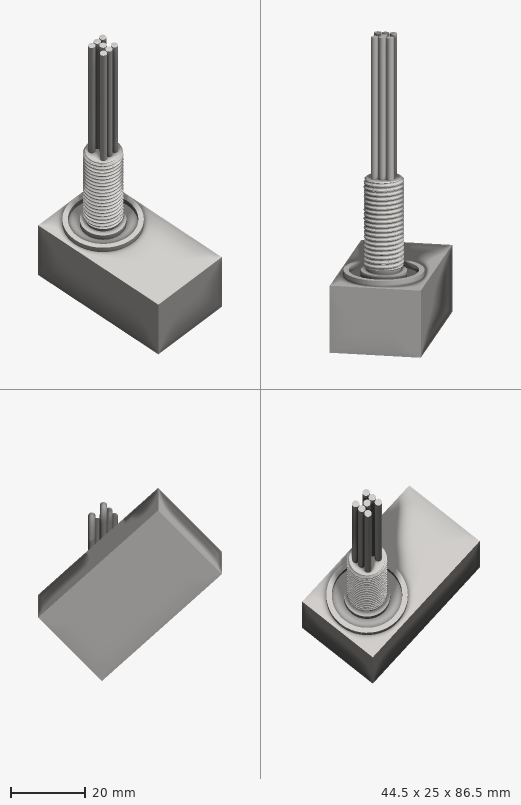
import cadquery as cq
import math

body_length = 44.5
body_width = 25.0
body_height = 18.9

axis_from_end = 12.3
axis_from_side = body_width / 2

collar_height = 1.65
rim_diameter = 22.0
recess_diameter = 19.0
seat_diameter = 12.5

neck_diameter = 9.4
neck_height = 1.0
thread_diameter = 10.9
thread_root_diameter = 9.7
thread_length = 25.0
thread_turns = 19.7
thread_pitch = thread_length / thread_turns
thread_chamfer = 0.6
thread_flank_angle = 30.0
crest_width = thread_pitch / 4
ridge_phase = 0.35
ridge_embed = 0.04
envelope_clearance = 0.01

wire_diameter = 2.0
wire_spacing = 2.2
overall_height = 86.5

collar_top = body_height + collar_height
thread_bottom = collar_top + neck_height
thread_top = thread_bottom + thread_length


def cylinder(diameter, bottom, top):
    """Upright cylinder on the Z axis between two heights."""
    return cq.Workplane("XY").workplane(offset=bottom).circle(diameter / 2).extrude(top - bottom)


def make_body():
    """Plain block, placed so that the stud axis is at the origin."""
    block = cq.Workplane("XY").box(body_length, body_width, body_height, centered=False)
    return block.translate((-axis_from_end, -axis_from_side, 0))


def make_collar():
    """Outer rim and central seat, both standing on the body."""
    rim = cylinder(rim_diameter, body_height, collar_top)
    rim = rim.cut(cylinder(recess_diameter, body_height, collar_top))
    return rim.union(cylinder(seat_diameter, body_height, collar_top))


def make_thread_ridge():
    """Right-handed helical ridge with sloping flanks that runs out past both ends of the thread."""
    crest_radius = thread_diameter / 2
    base_radius = thread_root_diameter / 2 - ridge_embed
    flank_rise = (crest_radius - base_radius) * math.tan(math.radians(thread_flank_angle))
    half_crest = crest_width / 2
    half_base = half_crest + flank_rise

    start = thread_bottom + ridge_phase - thread_pitch
    turns = math.ceil(thread_turns) + 2
    height = turns * thread_pitch
    corners = [
        (base_radius, start - half_base),
        (crest_radius, start - half_crest),
        (crest_radius, start + half_crest),
        (base_radius, start + half_base),
    ]

    rails = [cq.Wire.makeHelix(thread_pitch, height, radius, cq.Vector(0, 0, z)) for radius, z in corners]
    faces = []
    for rail, next_rail in zip(rails, rails[1:] + rails[:1]):
        faces.extend(cq.Face.makeRuledSurface(rail, next_rail).Faces())

    for rise in (0, height):
        outline = [cq.Vector(radius, 0, z + rise) for radius, z in corners]
        faces.append(cq.Face.makeFromWires(cq.Wire.makePolygon(outline, close=True)))
    return cq.Workplane(cq.Solid.makeSolid(cq.Shell.makeShell(faces)))


def make_stud():
    """Plain neck and core carrying a thread that is chamfered at both ends."""
    envelope = cylinder(thread_diameter + 2 * envelope_clearance, thread_bottom, thread_top)
    envelope = envelope.faces("<Z or >Z").chamfer(thread_chamfer)
    ridge = envelope.intersect(make_thread_ridge())
    core = cylinder(thread_root_diameter, thread_bottom, thread_top).union(ridge)
    return core.union(cylinder(neck_diameter, collar_top, thread_bottom))


def make_wires():
    """Seven separate wires standing on the end of the stud."""
    centers = [(0, 0)]
    for column in (-1, 1):
        for row in (-1, 0, 1):
            centers.append((column * wire_spacing, row * wire_spacing))
    wires = cq.Workplane("XY").workplane(offset=thread_top).pushPoints(centers)
    return wires.circle(wire_diameter / 2).extrude(overall_height - thread_top)


result = make_body().union(make_collar()).union(make_stud()).union(make_wires())